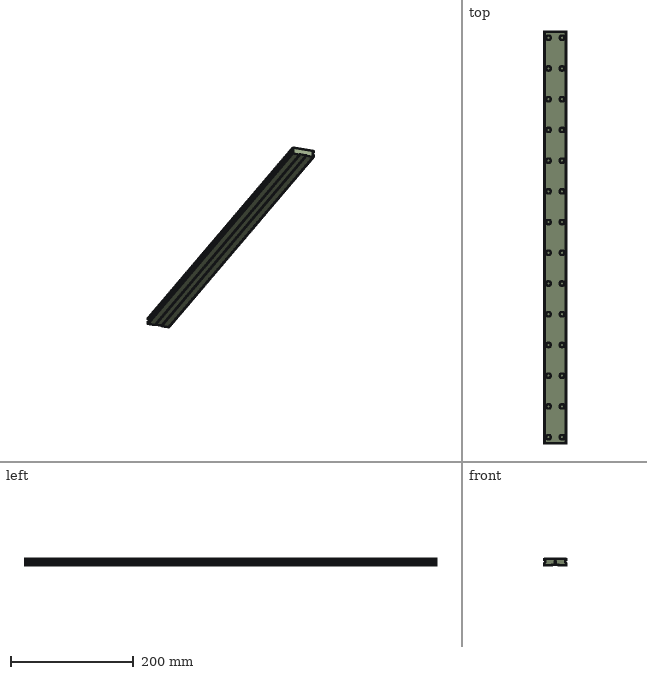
import cadquery as cq

rail_width = 37.0
rail_length = 670.0
rail_height = 11.0

top_bevel_width = 1.44
top_bevel_height = 1.2
bottom_chamfer = 0.5

groove_depth = 1.95
groove_bottom = 2.95
groove_floor_bottom = 4.75
groove_floor_top = 7.0
groove_top = 9.0
groove_ledge_width = 0.7

relief_width = 11.0
relief_depth = 0.8

end_hole_diameter = 2.75
end_hole_height = 5.3
end_hole_depth = 10.0

recess_diameter = 7.5
recess_depth = 0.1
recess_row_spacing = 22.0
recess_pitch = 50.0
recesses_per_row = 14


def make_rail():
    """Extrude the symmetric cross-section along Y, centred on X and Y and resting on Z = 0."""
    half_width = rail_width / 2
    half_relief = relief_width / 2
    groove_floor = half_width - groove_depth
    right_outline = [
        (half_relief, relief_depth),
        (half_relief, 0),
        (half_width - bottom_chamfer, 0),
        (half_width, bottom_chamfer),
        (half_width, groove_bottom),
        (groove_floor, groove_floor_bottom),
        (groove_floor, groove_floor_top),
        (half_width - groove_ledge_width, groove_top),
        (half_width, groove_top),
        (half_width, rail_height - top_bevel_height),
        (half_width - top_bevel_width, rail_height),
    ]
    left_outline = [(-x, z) for x, z in reversed(right_outline)]
    section = cq.Workplane("XZ").polyline(right_outline + left_outline).close()
    return section.extrude(rail_length / 2, both=True)


def cut_end_hole(rail):
    """Drill the blind hole into the -Y end face."""
    drill = (
        cq.Workplane("XZ", origin=(0, -rail_length / 2, end_hole_height))
        .circle(end_hole_diameter / 2)
        .extrude(-end_hole_depth)
    )
    return rail.cut(drill)


def cut_mounting_recesses(rail):
    """Cut both rows of round recesses into the top face."""
    cutters = (
        cq.Workplane("XY", origin=(0, 0, rail_height))
        .rarray(recess_row_spacing, recess_pitch, 2, recesses_per_row)
        .circle(recess_diameter / 2)
        .extrude(-recess_depth)
    )
    return rail.cut(cutters)


rail_body = make_rail()
drilled_rail = cut_end_hole(rail_body)
result = cut_mounting_recesses(drilled_rail)